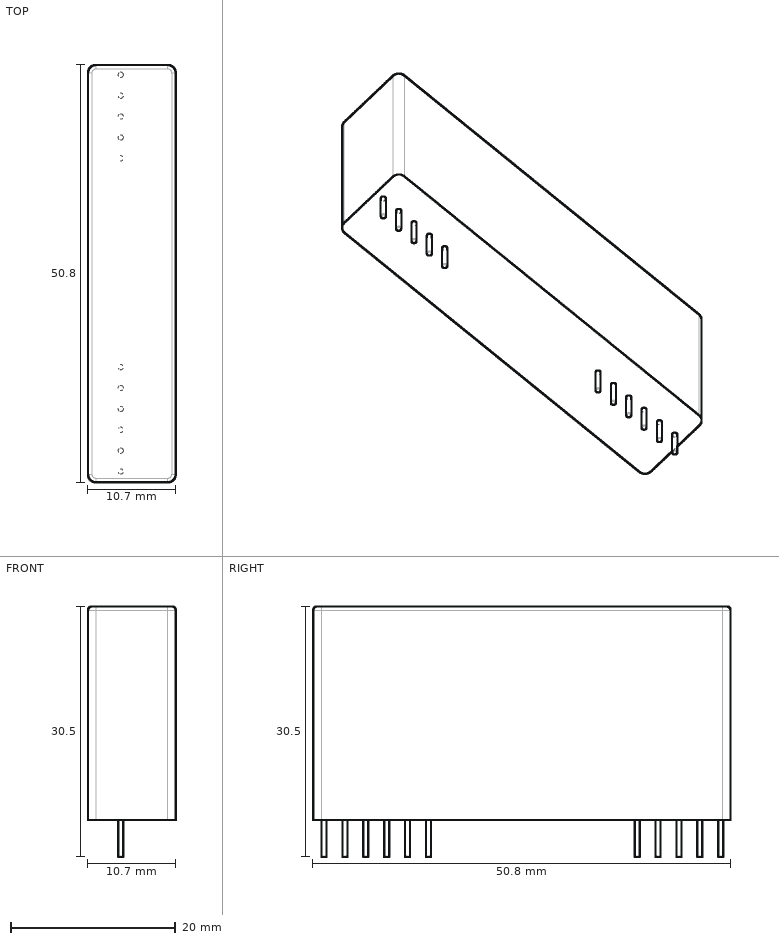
import cadquery as cq

case_width = 10.7
case_length = 50.8
overall_height = 30.5
pin_length = 4.5
case_height = overall_height - pin_length
corner_radius = 1.0
top_edge_radius = 0.5

pin_diameter = 0.64
pin_tip_radius = 0.1
pin_pitch = 2.54
grid_positions = 20
pins_at_front = 6
pins_at_back = 5
pin_row_from_side = 4.0
first_pin_from_front = 1.33
pin_embed = 1.0

pin_row_x = pin_row_from_side - case_width / 2
first_pin_y = first_pin_from_front - case_length / 2


def make_case():
    """Block standing on Z = 0 with rounded upright corners and top rim."""
    block = cq.Workplane("XY").box(case_width, case_length, case_height, centered=(True, True, False))
    rounded = block.edges("|Z").fillet(corner_radius)
    return rounded.faces(">Z").edges().fillet(top_edge_radius)


def make_pins():
    """Front (-Y) and back (+Y) groups of pins, with the grid positions between them empty."""
    front_group = list(range(pins_at_front))
    back_group = list(range(grid_positions - pins_at_back, grid_positions))
    centers = [(pin_row_x, first_pin_y + index * pin_pitch) for index in front_group + back_group]
    tip_plane = cq.Workplane("XY").workplane(offset=-pin_length)
    pins = tip_plane.pushPoints(centers).circle(pin_diameter / 2).extrude(pin_length + pin_embed)
    return pins.faces("<Z").edges().fillet(pin_tip_radius)


result = make_case().union(make_pins())